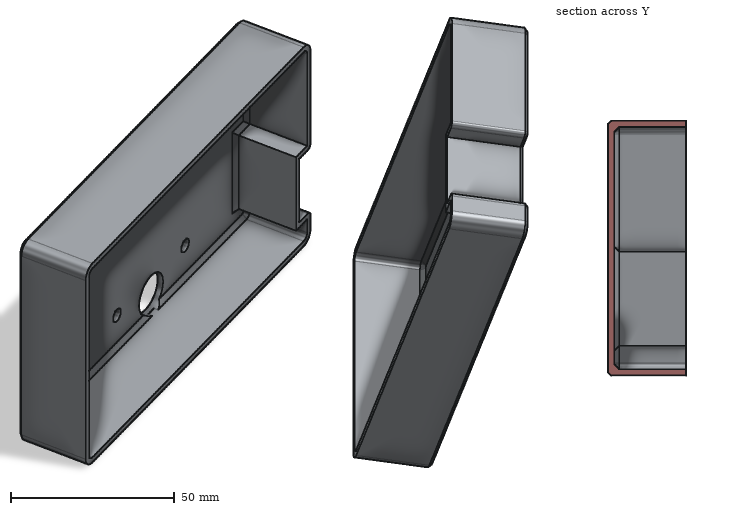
import cadquery as cq

depth = 24.0
width = 132.0
height = 78.0

corner_radius = 4.0
front_chamfer = 1.0

notch_depth = 6.55
notch_bottom = 11.15
notch_height = 24.8
notch_lip_radius = 1.6

wall = 2.0
inner_chamfer = 1.5

main_hole_diameter = 14.0
main_hole_y = 8.45
main_hole_z = 8.8
screw_hole_diameter = 4.5
screw_hole_spacing = 40.0
screw_hole_z = 14.0


def make_body():
    """Solid block with the notch, rounded corners and a chamfered front rim."""
    body = cq.Workplane("XY").box(depth, width, height, centered=(False, True, False))
    body = body.edges("|X").fillet(corner_radius)
    notch = cq.Workplane("XY").box(depth, notch_depth, notch_height, centered=False)
    body = body.cut(notch.translate((0, width / 2 - notch_depth, notch_bottom)))
    for lip_z in (notch_bottom, notch_bottom + notch_height):
        lip = cq.selectors.NearestToPointSelector((depth / 2, width / 2, lip_z))
        body = body.edges(lip).fillet(notch_lip_radius)
    return body.faces("<X").chamfer(front_chamfer)


def make_cavity():
    """Sharp-floored interior that keeps an even wall along the sides and around the notch."""
    cavity_depth = depth - wall
    cavity = (
        cq.Workplane("XY")
        .box(cavity_depth, width - 2 * wall, height - 2 * wall, centered=(False, True, False))
        .edges("|X")
        .fillet(corner_radius - wall)
        .translate((wall, 0, wall))
    )
    notch_wall = (
        cq.Workplane("XY")
        .box(cavity_depth, notch_depth, notch_height + 2 * wall, centered=False)
        .translate((wall, width / 2 - notch_depth - wall, notch_bottom - wall))
    )
    return cavity.cut(notch_wall)


def make_hole(diameter, y, z, length):
    """Round cutter that starts at the front face and runs along +X."""
    return cq.Workplane("YZ").center(y, z).circle(diameter / 2).extrude(length)


cavity = make_cavity()
result = make_body().cut(cavity.faces("<X").edges().chamfer(inner_chamfer))

result = result.cut(make_hole(main_hole_diameter, main_hole_y, main_hole_z, wall))
chamfer_clearance = make_hole(main_hole_diameter, main_hole_y, main_hole_z, wall + inner_chamfer)
result = result.cut(chamfer_clearance.intersect(cavity))

for side in (-1, 1):
    screw_hole_y = main_hole_y + side * screw_hole_spacing / 2
    result = result.cut(make_hole(screw_hole_diameter, screw_hole_y, screw_hole_z, wall))